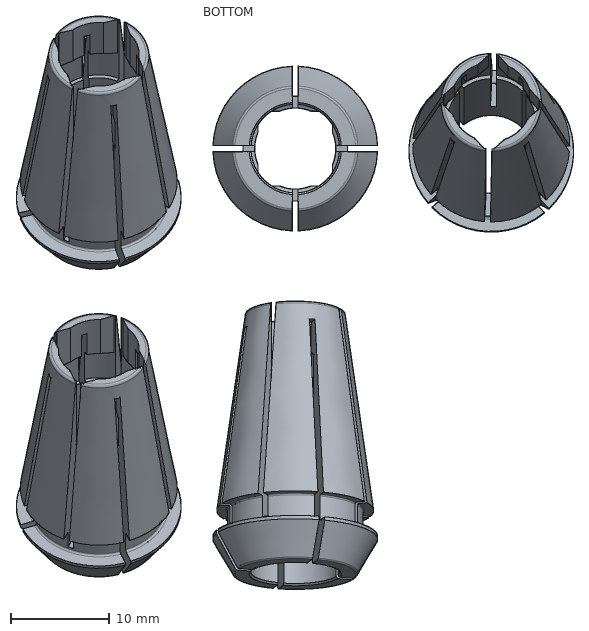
import cadquery as cq
import math

height = 27.5
flange_radius = 16.8 / 2
flange_top = 4.0
flange_rim_bottom = 3.63
clamp_angle = 30.0
bottom_edge_radius = 0.28

neck_radius = 6.93
neck_bottom_fillet = 0.22
neck_top_fillet = 0.15

cone_base = 6.68
cone_base_radius = 8.0
cone_angle = 8.0
top_edge_radius = 0.3

shank_radius = 4.5
shank_length = 17.88
shank_chamfer = 0.2
relief_radius = 4.9
grip_radius = 4.12
grip_square = 7.6
grip_length = 5.12
relief_cone_angle = 60.0

slot_width = 0.6
slots_per_set = 4
bottom_slot_end = 25.55
top_slot_end = 4.48

bottom_radius = flange_radius - flange_rim_bottom * math.tan(math.radians(clamp_angle))
top_radius = cone_base_radius - (height - cone_base) * math.tan(math.radians(cone_angle))


def turned(outline):
    """Solid of revolution about Z from (radius, height) points."""
    return cq.Workplane("XZ").polyline(outline).close().revolve(360, (0, 0), (0, 1))


def outer_body():
    """Clamping flange, neck and long taper, revolved about Z."""
    outline = [
        (0, 0),
        (bottom_radius, 0),
        (flange_radius, flange_rim_bottom),
        (flange_radius, flange_top),
        (neck_radius, flange_top),
        (neck_radius, cone_base),
        (cone_base_radius, cone_base),
        (top_radius, height),
        (0, height),
    ]
    body = turned(outline)
    body = body.faces(">Z").edges().fillet(top_edge_radius)
    return body.faces("<Z").edges().fillet(bottom_edge_radius)


def neck_corner(corner_height, radius, direction):
    """Ring that rounds an inner corner of the neck; direction is +1 upward, -1 downward."""
    arc_inset = radius * (1 - math.sqrt(0.5))
    arc_middle = (neck_radius + arc_inset, corner_height + direction * arc_inset)
    arc_end = (neck_radius, corner_height + direction * radius)
    return (
        cq.Workplane("XZ")
        .moveTo(neck_radius, corner_height)
        .lineTo(neck_radius + radius, corner_height)
        .threePointArc(arc_middle, arc_end)
        .close()
        .revolve(360, (0, 0), (0, 1))
    )


def slot_set(bottom, top, first_angle):
    """Radial slots around Z, each reaching from the axis past the flange."""
    slots = cq.Workplane("XY")
    slot_length = flange_radius + slot_width
    for index in range(slots_per_set):
        blade = (
            cq.Workplane("XY", origin=(0, 0, bottom))
            .rect(slot_length, slot_width)
            .extrude(top - bottom)
            .translate((slot_length / 2, 0, 0))
            .rotate((0, 0, 0), (0, 0, 1), first_angle + index * 360 / slots_per_set)
        )
        slots = slots.add(blade)
    return slots.combine()


def bore():
    """Round shank hole, wider relief, then a square hole crossed by a round one."""
    grip_bottom = height - grip_length
    cone_length = (relief_radius - grip_radius) / math.tan(math.radians(relief_cone_angle))
    relief_top = grip_bottom - cone_length
    round_bore = turned([
        (0, 0),
        (shank_radius + shank_chamfer, 0),
        (shank_radius, shank_chamfer),
        (shank_radius, shank_length),
        (relief_radius, shank_length),
        (relief_radius, relief_top),
        (grip_radius, grip_bottom),
        (grip_radius, height),
        (0, height),
    ])
    square_height = height - relief_top
    plane = cq.Workplane("XY", origin=(0, 0, relief_top))
    square_grip = plane.rect(grip_square, grip_square).extrude(square_height)
    rounded_square = square_grip.intersect(plane.circle(relief_radius).extrude(square_height))
    return round_bore.union(rounded_square)


body = outer_body()
body = body.union(neck_corner(flange_top, neck_bottom_fillet, 1))
body = body.union(neck_corner(cone_base, neck_top_fillet, -1))
body = body.cut(bore())
body = body.cut(slot_set(0, bottom_slot_end, 0))
result = body.cut(slot_set(top_slot_end, height, 180 / slots_per_set))